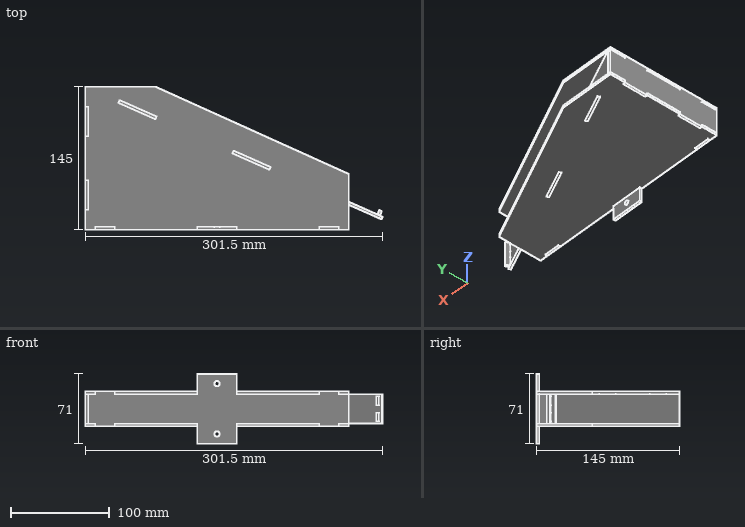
import cadquery as cq
import math

overall_length = 301.5
box_length = 267.3
box_depth = 145.0
inner_height = 30.0
thickness = 3.0
half_inner = inner_height / 2
outer_height = inner_height + 2 * thickness

rear_edge_length = 71.5
right_edge_length = 56.7

flange_width = 40.0
flange_height = 71.0
front_tab_width = 20.0
front_tab_offset = 113.5
front_center_x = box_length / 2
bolt_hole_diameter = 5.0
bolt_hole_spacing = 51.0

end_tab_width = 30.0
end_tab_offset = 37.5

ramp_angle = 23.9
ramp_tab_length = 41.0
ramp_tab_centers = (54.0, 180.5)
ramp_start_x = thickness * (1 + math.sin(math.radians(ramp_angle)))
ramp_length = (overall_length - ramp_start_x) / math.cos(math.radians(ramp_angle))

stop_height = 4.8
stop_end_margin = 3.0
stop_tab_width = 9.0
stop_tab_offset = 8.3
stop_center = ramp_length - stop_end_margin - thickness / 2


def block(x_min, x_max, y_min, y_max, height):
    """Box between the given X and Y limits, centred on Z = 0."""
    center = ((x_min + x_max) / 2, (y_min + y_max) / 2, 0)
    return cq.Workplane("XY").box(x_max - x_min, y_max - y_min, height).translate(center)


def on_ramp(shape):
    """Move a shape from ramp coordinates (X along the ramp, Y = 0 on its upper face) into place."""
    return shape.rotate((0, 0, 0), (0, 0, 1), -ramp_angle).translate((ramp_start_x, box_depth, 0))


def make_front_wall():
    """Wall butting against the end wall, with a tall mounting flange between two tabs."""
    wall = block(thickness, box_length, 0, thickness, inner_height)
    tab_shapes = [(front_center_x, flange_width, flange_height)]
    for side in (-1, 1):
        tab_shapes.append((front_center_x + side * front_tab_offset, front_tab_width, outer_height))
    for center_x, width, height in tab_shapes:
        wall = wall.union(block(center_x - width / 2, center_x + width / 2, 0, thickness, height))
    bolt_holes = (
        cq.Workplane("XZ")
        .center(front_center_x, 0)
        .rarray(3, bolt_hole_spacing, 1, 2)
        .circle(bolt_hole_diameter / 2)
        .extrude(-thickness)
    )
    return wall.cut(bolt_holes)


def make_end_wall():
    """Wall over the full depth of the box, with two tabs on each long edge."""
    wall = block(0, thickness, 0, box_depth, inner_height)
    for side in (-1, 1):
        y_min = box_depth / 2 + side * end_tab_offset - end_tab_width / 2
        wall = wall.union(block(0, thickness, y_min, y_min + end_tab_width, outer_height))
    return wall


def make_stop():
    """Low plate square to the ramp, with two tabs that pass through it."""
    left = stop_center - thickness / 2
    right = stop_center + thickness / 2
    stop = block(left, right, 0, stop_height, inner_height)
    for side in (-1, 1):
        tab = block(left, right, -thickness, 0, stop_tab_width)
        stop = stop.union(tab.translate((0, 0, side * stop_tab_offset)))
    return on_ramp(stop)


def make_ramp(stop):
    """Sloping floor with tabs into both side panels and openings for the stop."""
    ramp = block(0, ramp_length, -thickness, 0, inner_height)
    for center in ramp_tab_centers:
        start = center - ramp_tab_length / 2
        ramp = ramp.union(block(start, start + ramp_tab_length, -thickness, 0, outer_height))
    return on_ramp(ramp).cut(stop)


def make_side_panel(bottom_z, tabbed_parts):
    """Side panel with an opening wherever a tab of another part passes through."""
    outline = [
        (0, 0),
        (box_length, 0),
        (box_length, right_edge_length),
        (rear_edge_length, box_depth),
        (0, box_depth),
    ]
    panel = cq.Workplane("XY").workplane(offset=bottom_z).polyline(outline).close().extrude(thickness)
    for part in tabbed_parts:
        panel = panel.cut(part)
    return panel


front_wall = make_front_wall()
end_wall = make_end_wall()
stop = make_stop()
ramp = make_ramp(stop)
side_panels = [
    make_side_panel(bottom_z, (front_wall, end_wall, ramp))
    for bottom_z in (-half_inner - thickness, half_inner)
]

result = cq.Compound.makeCompound([
    front_wall.val(),
    end_wall.val(),
    ramp.val(),
    stop.val(),
    *[panel.val() for panel in side_panels],
])